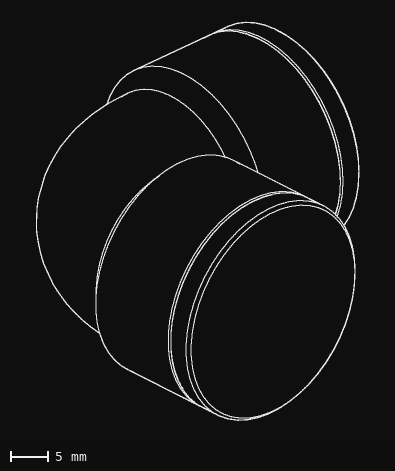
import cadquery as cq


collar_diameter = 31.35
bend_diameter = 26.53
overall_length = 50.68
inner_bend_radius = 0.97
neck_length = 0.48
mouth_chamfer = 0.48
groove_width = 0.48
groove_depth = 0.24
groove_to_mouth = 3.44

collar_radius = collar_diameter / 2
bend_radius = bend_diameter / 2
bend_path_radius = bend_radius + inner_bend_radius
arm_length = overall_length - collar_radius
cone_length = collar_radius - bend_radius
cone_start = bend_path_radius + neck_length
collar_start = cone_start + cone_length
groove_end = arm_length - groove_to_mouth
groove_start = groove_end - groove_width
groove_middle = (groove_start + groove_end) / 2
groove_radius = collar_radius - groove_depth


def make_bend():
    """Quarter torus joining the two arms, turned about a Z line at the inside corner."""
    return (
        cq.Workplane("XZ", origin=(0, bend_path_radius, 0))
        .circle(bend_radius)
        .revolve(90, (bend_path_radius, 0, 0), (bend_path_radius, 1, 0))
    )


def make_x_arm():
    """Neck, cone and V-grooved collar revolved about the X axis."""
    return (
        cq.Workplane("XY")
        .moveTo(bend_path_radius, 0)
        .lineTo(bend_path_radius, bend_radius)
        .lineTo(cone_start, bend_radius)
        .lineTo(collar_start, collar_radius)
        .lineTo(groove_start, collar_radius)
        .lineTo(groove_middle, groove_radius)
        .lineTo(groove_end, collar_radius)
        .lineTo(arm_length - mouth_chamfer, collar_radius)
        .lineTo(arm_length, collar_radius - mouth_chamfer)
        .lineTo(arm_length, 0)
        .close()
        .revolve(360, (0, 0, 0), (1, 0, 0))
    )


x_arm = make_x_arm()
y_arm = x_arm.rotate((0, 0, 0), (1, 1, 0), 180)

result = make_bend().union(x_arm).union(y_arm)